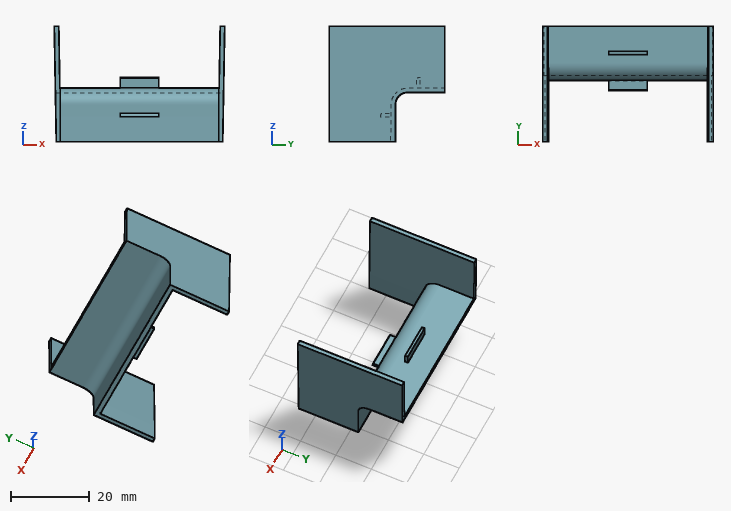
import cadquery as cq
import math

width = 43.45
leg = 29.5
thickness = 1.2
inner_reach = 12.55
inner_radius = 3.0
draft = math.tan(math.radians(1))

stop_offset = 6.45
stop_width = 9.85
stop_thickness = 0.83
stop_length = 2.7
stop_tip_drop = 0.2

outer_reach = inner_reach + thickness
outer_radius = inner_radius + thickness
wall_top = width / 2
wall_foot = wall_top - leg * draft
wall_inside_top = wall_top - thickness
wall_inside_foot = wall_inside_top - (leg - stop_offset) * draft
stop_end = stop_offset + stop_thickness
stop_tip = outer_reach + stop_length
stop_tip_radius = (stop_thickness**2 + stop_tip_drop**2) / (2 * stop_tip_drop)

side_plane = cq.Plane(origin=(0, 0, 0), xDir=(0, -1, 0), normal=(-1, 0, 0))


def extrude_across(sketch, span):
    """Extrude a side sketch by equal amounts to either side of the mid plane."""
    return sketch.extrude(span / 2, both=True)


def space_beyond_bend(reach, radius):
    """Square block as wide as the part, with its lower back corner cut away by a rounded bend."""
    bend_center = reach - radius
    bend_middle = bend_center + radius * math.sqrt(0.5)
    sketch = (
        cq.Workplane(side_plane)
        .moveTo(0, reach)
        .lineTo(bend_center, reach)
        .threePointArc((bend_middle, bend_middle), (reach, bend_center))
        .lineTo(reach, 0)
        .lineTo(leg, 0)
        .lineTo(leg, leg)
        .lineTo(0, leg)
        .close()
    )
    return extrude_across(sketch, width)


def outer_walls():
    """Solid between the outer wall faces, which lean outward toward the top."""
    outline = [
        (-wall_foot, 0),
        (wall_foot, 0),
        (wall_top, leg),
        (-wall_top, leg),
    ]
    return cq.Workplane("XZ").polyline(outline).close().extrude(leg)


def inner_walls():
    """Solid between the inner wall faces, upright at the foot and leaning outward above."""
    outline = [
        (-wall_inside_foot, 0),
        (wall_inside_foot, 0),
        (wall_inside_foot, stop_offset),
        (wall_inside_top, leg),
        (-wall_inside_top, leg),
        (-wall_inside_foot, stop_offset),
    ]
    return cq.Workplane("XZ").polyline(outline).close().extrude(leg)


def web_flare():
    """Lower front of the web, growing thicker toward the underside."""
    outline = [
        (inner_reach, 0),
        (outer_reach + stop_offset * draft, 0),
        (outer_reach, stop_offset),
        (inner_reach, stop_offset),
    ]
    sketch = cq.Workplane(side_plane).polyline(outline).close()
    return extrude_across(sketch, 2 * wall_inside_foot)


def upper_stop():
    """Upright tab on the web, with a tip that curves down toward the front."""
    sketch = (
        cq.Workplane(side_plane)
        .moveTo(stop_offset, inner_reach)
        .lineTo(stop_offset, stop_tip)
        .radiusArc((stop_end, stop_tip - stop_tip_drop), stop_tip_radius)
        .lineTo(stop_end, inner_reach)
        .close()
    )
    return extrude_across(sketch, stop_width)


def lower_stop():
    """The same tab on the front of the web, mirrored across the bend."""
    return (
        upper_stop()
        .mirror("XY")
        .rotate((0, 0, 0), (1, 0, 0), -90)
    )


channel_space = space_beyond_bend(outer_reach, outer_radius).intersect(inner_walls())
channel = (
    space_beyond_bend(inner_reach, inner_radius)
    .intersect(outer_walls())
    .cut(channel_space)
)
result = channel.union(web_flare()).union(upper_stop()).union(lower_stop())